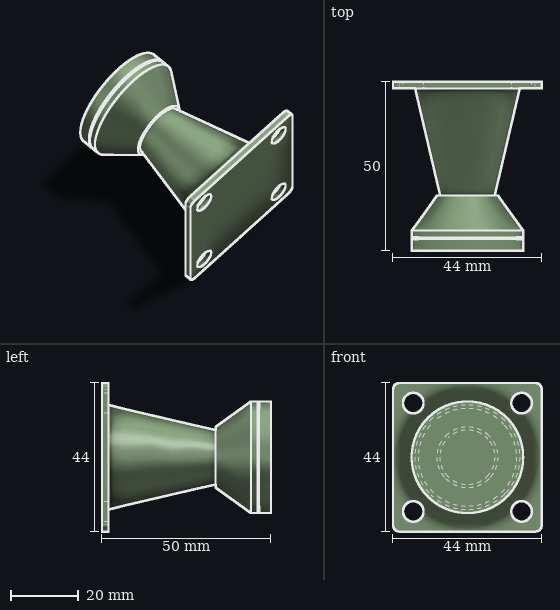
import cadquery as cq

plate_side = 44.0
plate_thickness = 2.0
corner_radius = 2.0
hole_diameter = 6.0
hole_spacing = 32.0

total_length = 50.0
post_base_radius = 15.5
post_tip_radius = 8.1
flare_start_radius = 9.0
head_radius = 16.5
groove_radius = 14.5
cap_length = 3.5
groove_width = 0.5
rim_length = 2.0
flare_length = 10.4

groove_end = total_length - cap_length
rim_end = groove_end - groove_width
flare_end = rim_end - rim_length
flare_start = flare_end - flare_length


def mounting_plate():
    """Rounded square plate with a hole near each corner."""
    return (
        cq.Workplane("XZ")
        .rect(plate_side, plate_side)
        .extrude(plate_thickness)
        .edges("|Y")
        .fillet(corner_radius)
        .faces("<Y")
        .workplane()
        .rect(hole_spacing, hole_spacing, forConstruction=True)
        .vertices()
        .hole(hole_diameter)
    )


def turned_knob():
    """Tapered post, flared head, narrow groove and end cap as one revolved profile."""
    profile = [
        (0, -plate_thickness),
        (post_base_radius, -plate_thickness),
        (post_tip_radius, -flare_start),
        (flare_start_radius, -flare_start),
        (head_radius, -flare_end),
        (head_radius, -rim_end),
        (groove_radius, -rim_end),
        (groove_radius, -groove_end),
        (head_radius, -groove_end),
        (head_radius, -total_length),
        (0, -total_length),
    ]
    return cq.Workplane("XY").polyline(profile).close().revolve(360, (0, 0), (0, 1))


result = mounting_plate().union(turned_knob())